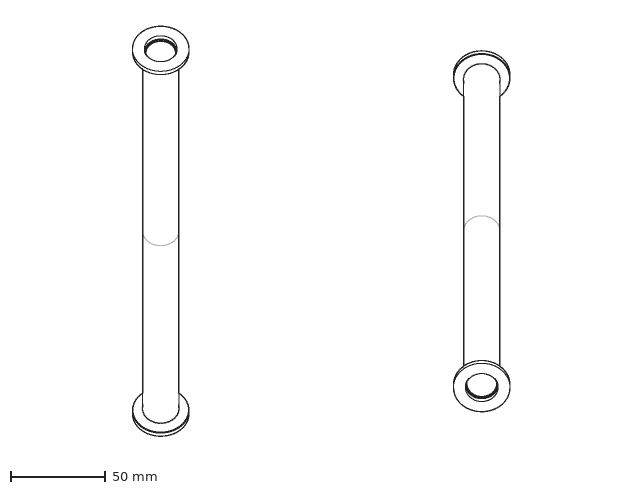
import cadquery as cq

TOTAL_LENGTH = 320.0
FLANGE_DIAMETER = 30.0
TUBE_DIAMETER = 19.2
TUBE_BORE = 15.7
FLANGE_BORE = 16.5
RECESS_DIAMETER = 17.3

RIM_THICKNESS = 3.2
RIM_CHAMFER = 0.3
CONE_FOOT_DIAMETER = 20.0
FLANGE_THICKNESS = 4.5
RECESS_DEPTH = 3.0
TUBE_SEAT_DEPTH = 4.0

FLANGE_RADIUS = FLANGE_DIAMETER / 2
TUBE_RADIUS = TUBE_DIAMETER / 2
HALF_LENGTH = TOTAL_LENGTH / 2
TUBE_LENGTH = TOTAL_LENGTH - 2 * TUBE_SEAT_DEPTH


def make_tube():
    """Plain tube whose ends sit in the sockets of both flanges."""
    return (
        cq.Workplane("XY")
        .circle(TUBE_RADIUS)
        .circle(TUBE_BORE / 2)
        .extrude(TUBE_LENGTH / 2, both=True)
    )


def make_top_flange():
    """Flange with a conical back, a tube socket, a stepped bore and its sealing face at the top end."""
    rim_bottom = HALF_LENGTH - RIM_THICKNESS
    back = HALF_LENGTH - FLANGE_THICKNESS
    tube_seat = HALF_LENGTH - TUBE_SEAT_DEPTH
    recess_floor = HALF_LENGTH - RECESS_DEPTH
    half_section = [
        (RECESS_DIAMETER / 2, HALF_LENGTH),
        (FLANGE_RADIUS, HALF_LENGTH),
        (FLANGE_RADIUS, rim_bottom),
        (CONE_FOOT_DIAMETER / 2, back),
        (TUBE_RADIUS, back),
        (TUBE_RADIUS, tube_seat),
        (FLANGE_BORE / 2, tube_seat),
        (FLANGE_BORE / 2, recess_floor),
        (RECESS_DIAMETER / 2, recess_floor),
    ]
    flange = cq.Workplane("XZ").polyline(half_section).close().revolve(360, (0, 0), (0, 1))
    rim_edges = flange.edges(cq.selectors.RadiusNthSelector(-1))
    return rim_edges.edges("<Z").chamfer(RIM_CHAMFER)


tube = make_tube()
top_flange = make_top_flange()
flanges = [top_flange, top_flange.mirror("XY")]

result = cq.Compound.makeCompound([tube.val(), *[flange.val() for flange in flanges]])